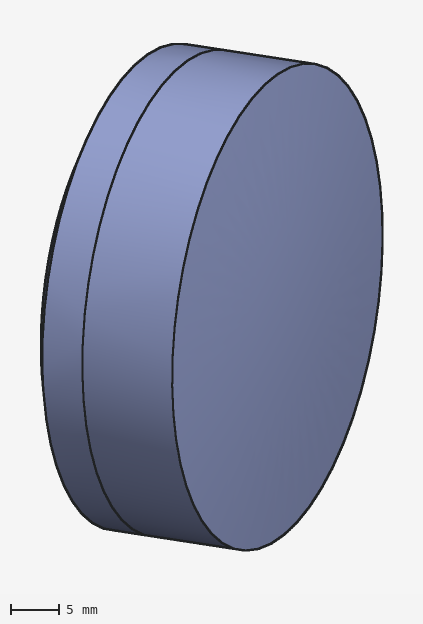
import cadquery as cq
import math

diameter = 50.8
front_sag = 6.8
front_edge = 4.55
back_edge = 10.25
back_sag = 1.35

radius = diameter / 2
rim_start = front_sag
joint = rim_start + front_edge
rim_end = joint + back_edge


def arc_middle(sag):
    """Return (depth below the apex, radial distance) halfway along a dome's arc."""
    dome_radius = (radius**2 + sag**2) / (2 * sag)
    half_angle = math.asin(radius / dome_radius) / 2
    depth = dome_radius * (1 - math.cos(half_angle))
    return depth, dome_radius * math.sin(half_angle)


def lens_element(apex, arc_point, rim):
    """Revolve the half section between a dome and the joint plane about the X axis."""
    return (
        cq.Workplane("XZ")
        .moveTo(apex, 0)
        .threePointArc(arc_point, (rim, radius))
        .lineTo(joint, radius)
        .lineTo(joint, 0)
        .close()
        .revolve(360, (0, 0, 0), (1, 0, 0))
    )


front_depth, front_height = arc_middle(front_sag)
front_lens = lens_element(0, (front_depth, front_height), rim_start)

back_apex = rim_end + back_sag
back_depth, back_height = arc_middle(back_sag)
back_lens = lens_element(back_apex, (back_apex - back_depth, back_height), rim_end)

result = cq.Compound.makeCompound([front_lens.val(), back_lens.val()])